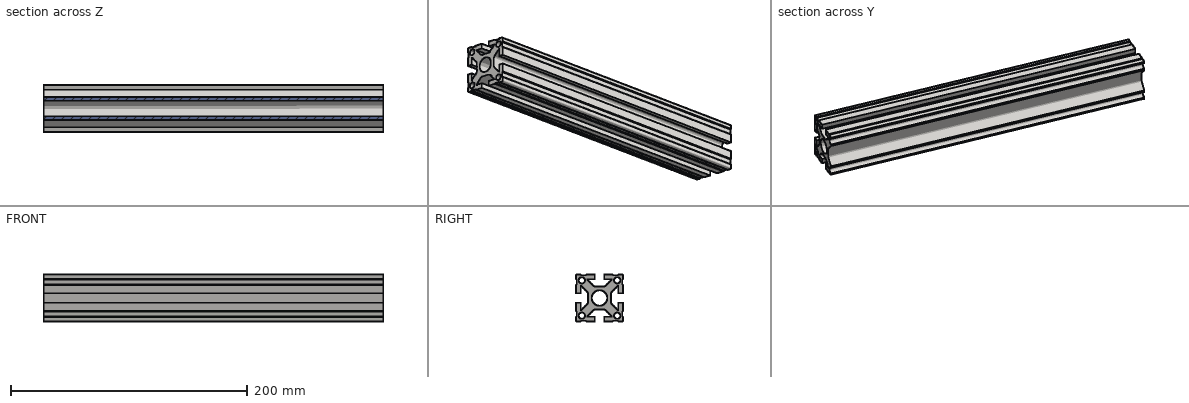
import cadquery as cq

length = 288.0
width = 40.0
half_width = width / 2
corner_radius = 1.5

slot_opening = 7.8
lip_thickness = 4.3
cavity_half_width = 10.5
floor_height = 9.8
floor_blend_radius = 3.0
lip_height = half_width - lip_thickness
floor_half_width = cavity_half_width - (lip_height - floor_height)

groove_inner = 11.0
groove_outer = 16.0
groove_depth = 0.5

bore_diameter = 13.0
corner_hole_diameter = 5.2
corner_hole_offset = 15.0


def make_slot():
    """T-slot cutter in the top side, with 45 degree walls below the lips."""
    opening = slot_opening / 2
    right_half = [
        (floor_half_width, floor_height),
        (cavity_half_width, lip_height),
        (opening, lip_height),
        (opening, half_width),
    ]
    left_half = [(-y, z) for y, z in reversed(right_half)]
    slot = cq.Workplane("YZ").polyline(right_half + left_half).close().extrude(length)
    return slot.edges("|X and <Z").fillet(floor_blend_radius)


def make_grooves():
    """Pair of shallow groove cutters in the top side."""
    cutters = cq.Workplane("YZ")
    for side in (-1, 1):
        outline = [
            (side * groove_inner, half_width),
            (side * (groove_inner + groove_depth), half_width - groove_depth),
            (side * (groove_outer - groove_depth), half_width - groove_depth),
            (side * groove_outer, half_width),
        ]
        cutters = cutters.polyline(outline).close()
    return cutters.extrude(length)


body = cq.Workplane("YZ").rect(width, width).extrude(length)
body = body.edges("|X").fillet(corner_radius)

side_cutters = [make_slot(), make_grooves()]
for angle in (0, 90, 180, 270):
    for cutter in side_cutters:
        body = body.cut(cutter.rotate((0, 0, 0), (1, 0, 0), angle))

bore = cq.Workplane("YZ").circle(bore_diameter / 2).extrude(length)
corner_holes = (
    cq.Workplane("YZ")
    .rect(2 * corner_hole_offset, 2 * corner_hole_offset, forConstruction=True)
    .vertices()
    .circle(corner_hole_diameter / 2)
    .extrude(length)
)
body = body.cut(bore).cut(corner_holes)

result = body.translate((-length / 2, 0, 0))